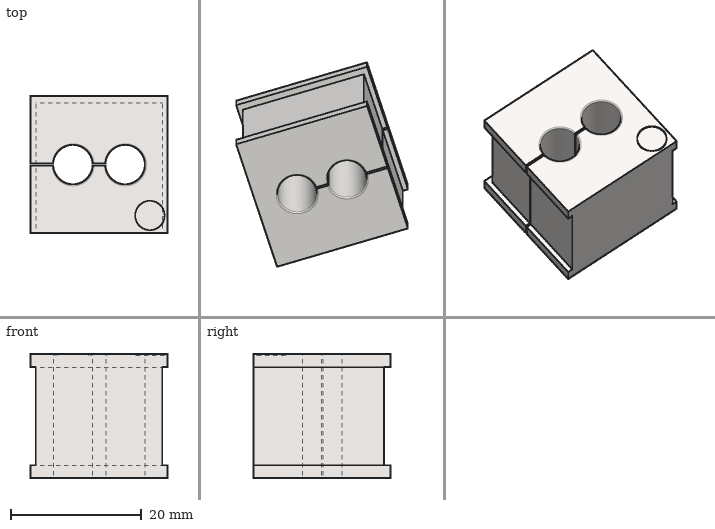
import cadquery as cq

side = 21
height = 19.0

flange_height = 2.0
side_step = 0.8
back_step = 1.0

hole_diameter = 6.0
hole_spacing = 8.0
mouth_rounding = 0.2
slit_width = 0.3

recess_diameter = 4.5
recess_depth = 0.2
recess_offset = 7.8

waist_height = height - 2 * flange_height


def make_block():
    """Flanged block: the waist is set back on both X sides and the +Y side, flush on -Y."""
    block = cq.Workplane("XY").box(side, side, height, centered=(True, True, False))
    band = cq.Workplane("XY").box(side, side, waist_height, centered=(True, True, False))
    waist = (
        cq.Workplane("XY")
        .center(0, -back_step / 2)
        .rect(side - 2 * side_step, side - back_step)
        .extrude(waist_height)
    )
    return block.cut(band.cut(waist).translate((0, 0, flange_height)))


def cut_holes(body):
    """Two vertical through holes, side by side along X, with rounded mouths at both ends."""
    drilled = (
        body.faces(">Z")
        .workplane(origin=(0, 0, height))
        .pushPoints([(-hole_spacing / 2, 0), (hole_spacing / 2, 0)])
        .hole(hole_diameter)
    )
    return drilled.faces("<Z or >Z").edges("%CIRCLE").fillet(mouth_rounding)


def cut_slit(body):
    """Full-height slit from the -X side through the first hole, ending in the second."""
    slit_end = hole_spacing / 2
    slit_length = slit_end + side / 2
    slit = (
        cq.Workplane("XY")
        .center(slit_end - slit_length / 2, 0)
        .rect(slit_length, slit_width)
        .extrude(height)
    )
    return body.cut(slit)


def cut_recess(body):
    """Shallow round recess sunk into the top face."""
    recess = (
        cq.Workplane("XY", origin=(recess_offset, -recess_offset, height))
        .circle(recess_diameter / 2)
        .extrude(-recess_depth)
    )
    return body.cut(recess)


result = cut_recess(cut_slit(cut_holes(make_block())))